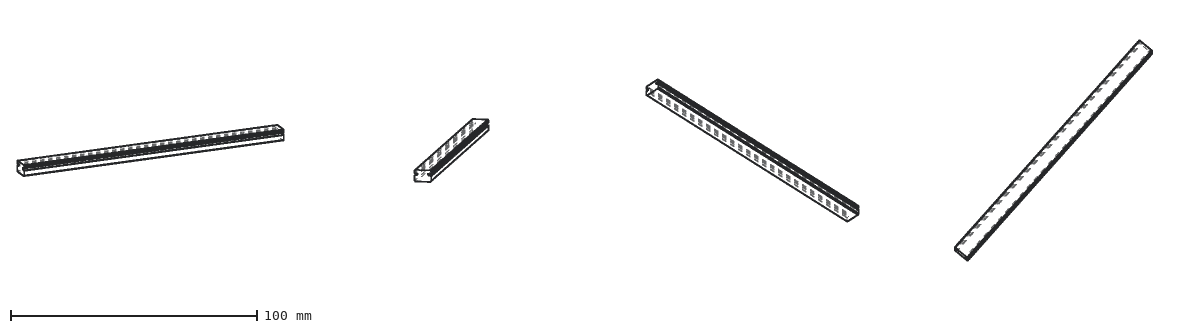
import cadquery as cq
import math

length = 115.0
width = 7.0
height = 4.8

top_chamfer_width = 0.3
top_chamfer_height = 0.5
bottom_chamfer = 0.5

groove_depth = 1.4
groove_radius = 0.8
groove_roof = 3.3
groove_floor = groove_roof - groove_radius
roof_chamfer_width = 0.3
roof_chamfer_height = 0.3
floor_chamfer_width = 0.2
floor_chamfer_height = 0.1

cap_count = 8
cap_pitch = 15.0
cap_diameter = 4.3
cap_thickness = 1.2


def make_half_rail():
    """The +X half of the rail, centred along Y, with its underside at Z = 0."""
    flank = width / 2
    groove_back = flank - groove_depth
    arc_centre = groove_back + groove_radius
    arc_reach = groove_radius * math.cos(math.radians(45))
    arc_middle = (arc_centre - arc_reach, groove_roof - arc_reach)
    return (
        cq.Workplane("XZ")
        .lineTo(flank - bottom_chamfer, 0)
        .lineTo(flank, bottom_chamfer)
        .lineTo(flank, groove_floor - floor_chamfer_height)
        .lineTo(flank - floor_chamfer_width, groove_floor)
        .lineTo(arc_centre, groove_floor)
        .threePointArc(arc_middle, (groove_back, groove_roof))
        .lineTo(flank - roof_chamfer_width, groove_roof)
        .lineTo(flank, groove_roof + roof_chamfer_height)
        .lineTo(flank, height - top_chamfer_height)
        .lineTo(flank - top_chamfer_width, height)
        .lineTo(0, height)
        .close()
        .extrude(length / 2, both=True)
    )


def make_rail():
    """Both mirrored halves joined into one bar."""
    half_rail = make_half_rail()
    return half_rail.union(half_rail.mirror("YZ")).clean()


def make_caps():
    """Round caps, evenly spaced along the middle of the top face and flush with it."""
    return (
        cq.Workplane("XY", origin=(0, 0, height - cap_thickness))
        .rarray(1.2, cap_pitch, 1, cap_count)
        .circle(cap_diameter / 2)
        .extrude(cap_thickness)
    )


result = make_rail().union(make_caps(), clean=False)